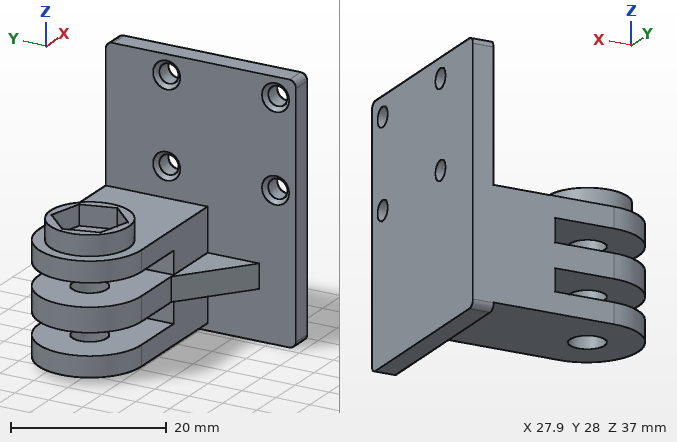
import cadquery as cq

plate_thickness = 3.0
plate_width = 28.0
plate_height = 37.0
corner_radius = 1.0

knuckle_reach = 24.9
knuckle_radius = 7.5
knuckle_bottom = 1.05
outer_finger = 3.0
middle_finger = 3.5
lower_slot_height = 3.22
upper_slot_height = 3.35
slot_floor_gap = 8.9

boss_diameter = 11.5
boss_height = 2.95
boss_offset = 0.1
pivot_diameter = 5.0
hex_corner_diameter = 10.15
hex_rotation = 45.0

gusset_length = 9.6
gusset_width = 7.62

screw_diameter = 2.8
countersink_diameter = 4.0
countersink_depth = (countersink_diameter - screw_diameter) / 2
screw_edge_left = 9.0
screw_edge_right = 3.0
screw_top_gap = 2.9
left_screw_spacing = 12.58
right_screw_spacing = 12.8

knuckle_height = 2 * outer_finger + lower_slot_height + upper_slot_height + middle_finger
knuckle_top = knuckle_bottom + knuckle_height
knuckle_axis_x = knuckle_radius - knuckle_reach
pivot_x = knuckle_axis_x - boss_offset
pivot_y = plate_width - knuckle_radius
knuckle_side_y = plate_width - 2 * knuckle_radius
lower_slot_z = knuckle_bottom + outer_finger
middle_finger_z = lower_slot_z + lower_slot_height
upper_slot_z = middle_finger_z + middle_finger
upper_screw_z = plate_height - screw_top_gap
left_screw_y = plate_width - screw_edge_left


def make_plate():
    plate = cq.Workplane("XY").box(plate_thickness, plate_width, plate_height, centered=False)
    return plate.edges("|X").fillet(corner_radius)


def make_knuckle():
    body = (
        cq.Workplane("XY", origin=(0, 0, knuckle_bottom))
        .moveTo(0, knuckle_side_y)
        .lineTo(knuckle_axis_x, knuckle_side_y)
        .threePointArc((-knuckle_reach, pivot_y), (knuckle_axis_x, plate_width))
        .lineTo(0, plate_width)
        .close()
        .extrude(knuckle_height)
    )
    slot_length = knuckle_reach - slot_floor_gap
    for slot_z, slot_height in (
        (lower_slot_z, lower_slot_height),
        (upper_slot_z, upper_slot_height),
    ):
        slot = (
            cq.Workplane("XY")
            .box(slot_length, 2 * knuckle_radius, slot_height, centered=False)
            .translate((-knuckle_reach, knuckle_side_y, slot_z))
        )
        body = body.cut(slot)
    return body


def make_gusset():
    return (
        cq.Workplane("XY", origin=(0, 0, middle_finger_z))
        .polyline([
            (0, knuckle_side_y - gusset_width),
            (0, pivot_y),
            (-gusset_length, pivot_y),
            (-gusset_length, knuckle_side_y),
        ])
        .close()
        .extrude(middle_finger)
    )


def make_boss():
    return (
        cq.Workplane("XY", origin=(pivot_x, pivot_y, knuckle_top))
        .circle(boss_diameter / 2)
        .extrude(boss_height)
    )


def make_nut_pocket():
    return (
        cq.Workplane("XY", origin=(pivot_x, pivot_y, knuckle_top))
        .transformed(rotate=(0, 0, hex_rotation))
        .polygon(6, hex_corner_diameter)
        .extrude(boss_height)
    )


def make_pivot_hole():
    return (
        cq.Workplane("XY", origin=(pivot_x, pivot_y, knuckle_bottom))
        .circle(pivot_diameter / 2)
        .extrude(knuckle_height)
    )


def make_screw_hole(y, z):
    return (
        cq.Workplane("XY", origin=(0, y, z))
        .polyline([
            (0, 0),
            (0, countersink_diameter / 2),
            (countersink_depth, screw_diameter / 2),
            (plate_thickness, screw_diameter / 2),
            (plate_thickness, 0),
        ])
        .close()
        .revolve(360, (0, 0, 0), (1, 0, 0))
    )


result = make_plate().union(make_knuckle()).union(make_gusset()).union(make_boss())
result = result.cut(make_nut_pocket()).cut(make_pivot_hole())
for screw_y, spacing in (
    (left_screw_y, left_screw_spacing),
    (screw_edge_right, right_screw_spacing),
):
    for screw_z in (upper_screw_z, upper_screw_z - spacing):
        result = result.cut(make_screw_hole(screw_y, screw_z))